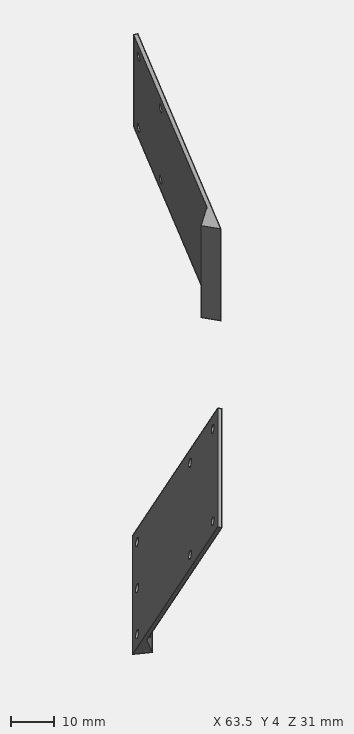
import cadquery as cq
import math

length = 63.5
depth = 4.0
height = 31.0
plate_thickness = 1.0
lip_angle = 30.0
hole_diameter = 2.05
hole_row_spacing = 24.0
first_column_x = 3.8
column_spacing = 16.8

slope = math.tan(math.radians(lip_angle))
lip_edge_x = length - depth * slope
lip_start_x = lip_edge_x - (depth - plate_thickness) / slope
lip_middle_x = (lip_start_x + lip_edge_x) / 2
lip_middle_y = -(plate_thickness + depth) / 2
outer_row_z = hole_row_spacing / 2


def hole_cutter(x, y, z, direction):
    """Cylinder centred on a point of the front surface, long enough to pass through."""
    reach = 2 * depth
    axis = cq.Vector(*direction)
    start = cq.Vector(x, y, z) - axis * reach
    return cq.Workplane(obj=cq.Solid.makeCylinder(hole_diameter / 2, 2 * reach, start, axis))


profile = [
    (0, 0),
    (length, 0),
    (lip_edge_x, -depth),
    (lip_start_x, -plate_thickness),
    (0, -plate_thickness),
]
result = cq.Workplane("XY").polyline(profile).close().extrude(height / 2, both=True)

for x in (first_column_x, first_column_x + column_spacing):
    for z in (-outer_row_z, outer_row_z):
        result = result.cut(hole_cutter(x, -plate_thickness, z, (0, 1, 0)))

lip_inward = (math.sin(math.radians(lip_angle)), math.cos(math.radians(lip_angle)), 0)
for z in (-outer_row_z, 0, outer_row_z):
    result = result.cut(hole_cutter(lip_middle_x, lip_middle_y, z, lip_inward))